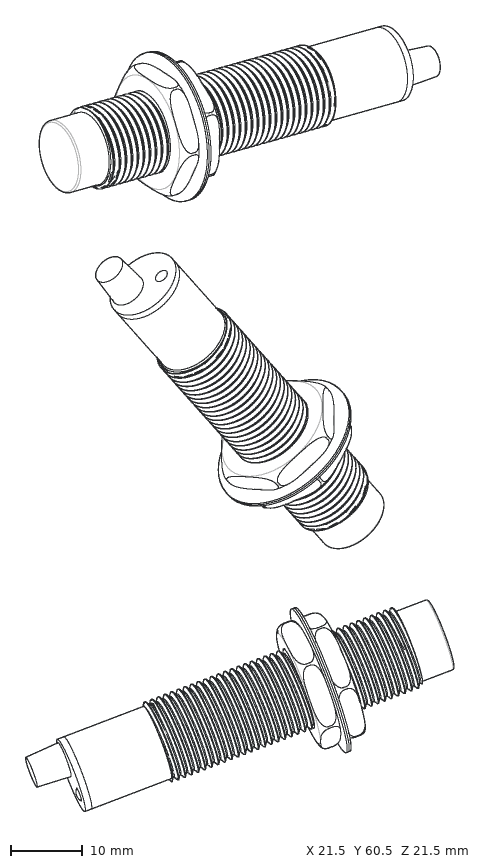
import cadquery as cq
import math


total_length = 60.5
nose_length = 4.95
front_nut_start = 14.7
nut_thickness = 3.0
washer_thickness = 0.3
washer_count = 2
thread_length = 37.65
boot_length = 4.95
end_cap_thickness = 0.95

washer_stack_start = front_nut_start + nut_thickness
rear_nut_start = washer_stack_start + washer_count * washer_thickness
thread_end = nose_length + thread_length
end_cap_end = total_length - boot_length
end_cap_start = end_cap_end - end_cap_thickness

nose_diameter = 10.45
nose_edge_fillet = 0.25
barrel_diameter = 10.8
thread_root_diameter = 10.75
thread_crest_diameter = 11.85
thread_turns = 37.6
thread_crest_width = 0.1
thread_root_width = 0.2
washer_bore_diameter = 12.15
washer_diameter = 21.5
nut_across_flats = 16.65
nut_corner_diameter = 19.0
nut_corner_fillet = 1.3
rear_nut_turn = 30.0
boot_offset = 2.5
boot_base_diameter = 5.1
boot_tip_diameter = 4.5
lamp_offset = -3.0
lamp_diameter = 1.95
lamp_height = 0.35

thread_pitch = thread_length / thread_turns


def cross_section(y, x=0.0):
    """Workplane across the axis at height y; a negative extrusion runs towards +Y."""
    return cq.Workplane("XZ", origin=(x, y, 0))


def rod(diameter, start, length):
    """Cylinder on the axis from start towards +Y."""
    return cross_section(start).circle(diameter / 2).extrude(-length)


def make_threaded_rod():
    """Right-hand threaded rod with a crest at +Z on its front end."""
    embed = 0.1
    core_radius = thread_root_diameter / 2
    crest_radius = thread_crest_diameter / 2
    inner_radius = core_radius - embed
    half_crest = thread_crest_width / 2
    half_root = (thread_pitch - thread_root_width) / 2
    flank_slope = (half_root - half_crest) / (crest_radius - core_radius)
    half_base = half_root + embed * flank_slope
    extra_turns = 2
    front_crest_turn = 0.25
    turns = math.ceil(thread_turns) + 2 * extra_turns + front_crest_turn
    helix_length = turns * thread_pitch
    helix = cq.Wire.makeHelix(thread_pitch, helix_length, inner_radius)
    profile = cq.Workplane("XZ").polyline([
        (inner_radius, -half_base),
        (crest_radius, -half_crest),
        (crest_radius, half_crest),
        (inner_radius, half_base),
    ]).close()
    ridge = profile.sweep(cq.Workplane(helix), isFrenet=True)
    front_overrun = extra_turns * thread_pitch
    ridge_front = nose_length - front_overrun
    ridge = ridge.rotate((0, 0, 0), (1, 0, 0), 90).translate((0, ridge_front + helix_length, 0))
    core_overrun = 2 * front_overrun
    core = rod(thread_root_diameter, nose_length - core_overrun, thread_length + 2 * core_overrun)
    trim = rod(washer_diameter, nose_length, thread_length)
    return core.union(ridge, clean=False).intersect(trim, clean=False)


def make_barrel():
    """Threaded length followed by a plain length."""
    plain = rod(barrel_diameter, thread_end, end_cap_start - thread_end)
    return make_threaded_rod().union(plain, clean=False)


def make_nose():
    return rod(nose_diameter, 0, nose_length).faces("<Y").edges().fillet(nose_edge_fillet)


def make_end_cap():
    """Disc closing the barrel, with a tapered cable boot moulded on, off the axis towards +X."""
    disc = rod(barrel_diameter, end_cap_start, end_cap_thickness)
    boot_base = cross_section(end_cap_end, boot_offset).circle(boot_base_diameter / 2)
    boot = boot_base.workplane(offset=-boot_length).circle(boot_tip_diameter / 2).loft()
    return disc.union(boot)


def make_lamp():
    """Low spherical dome on the end cap, off the axis towards -X."""
    rim_radius = lamp_diameter / 2
    dome_section = (
        cq.Workplane("XY")
        .lineTo(rim_radius, 0)
        .radiusArc((0, lamp_height), -(rim_radius**2 + lamp_height**2) / (2 * lamp_height))
        .close()
    )
    return dome_section.revolve(360, (0, 0, 0), (0, 1, 0)).translate((lamp_offset, end_cap_end, 0))


def make_washer(start):
    ring = cross_section(start).circle(washer_diameter / 2).circle(washer_bore_diameter / 2)
    return ring.extrude(-washer_thickness)


def make_nut(start, turn):
    """Hexagon nut with its corners rounded off; at turn 0 two corners lie on the X axis."""
    hexagon_corner_diameter = nut_across_flats / math.cos(math.radians(30))
    hexagon = cross_section(0).polygon(6, hexagon_corner_diameter).extrude(-nut_thickness)
    hexagon = hexagon.rotate((0, 0, 0), (0, 1, 0), turn)
    envelope = rod(nut_corner_diameter, 0, nut_thickness).faces("|Y").edges().fillet(nut_corner_fillet)
    bore = rod(thread_crest_diameter, 0, nut_thickness)
    return hexagon.intersect(envelope).cut(bore).translate((0, start, 0))


nose = make_nose()
barrel = make_barrel()
end_cap = make_end_cap()
lamp = make_lamp()
washers = [make_washer(washer_stack_start + i * washer_thickness) for i in range(washer_count)]
nuts = [make_nut(start, turn) for start, turn in ((front_nut_start, 0), (rear_nut_start, rear_nut_turn))]

result = cq.Compound.makeCompound(
    [nose.solids().val(), barrel.solids().val(), end_cap.solids().val(), lamp.solids().val()]
    + [washer.solids().val() for washer in washers]
    + [nut.solids().val() for nut in nuts]
)